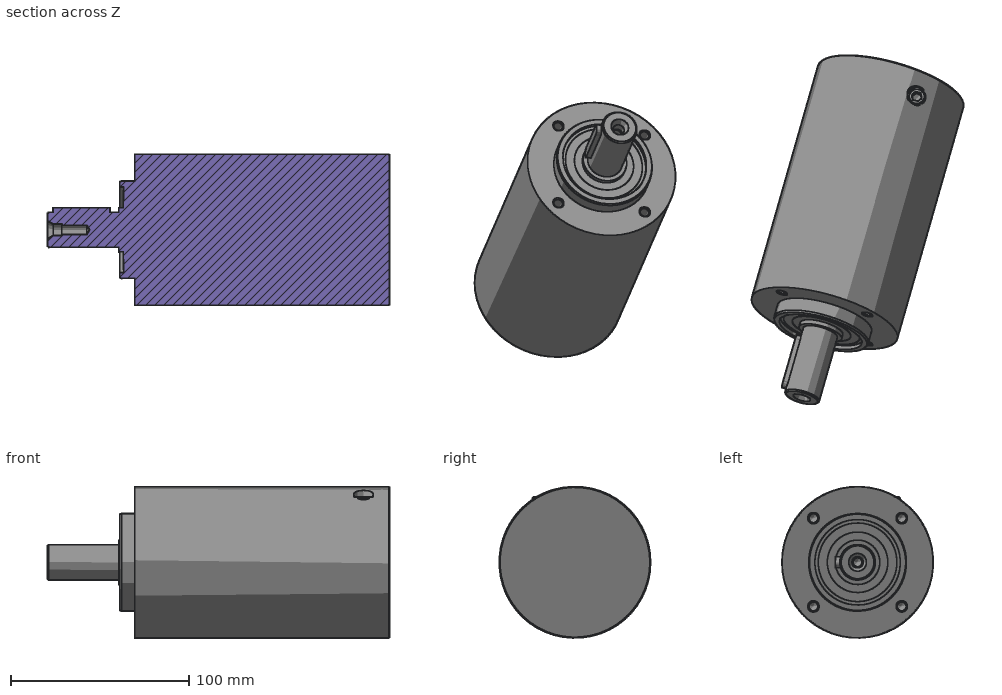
import cadquery as cq
import math


total_length = 192.0
shaft_length = 40.0
pilot_face_x = 40.5
body_face_x = 49.0

body_diameter = 85.0
pilot_diameter = 55.0
edge_chamfer_height = 0.48
pilot_chamfer_length = 1.2
body_chamfer_length = 0.5

recess_diameter = 48.0
recess_depth = 2.3
cover_diameter = 44.2
seal_diameter = 34.0
face_step = 0.2
seat_diameter = 25.0

shaft_diameter = 20.0
shaft_chamfer = 0.8

centre_mouth_diameter = 10.0
centre_clearance_diameter = 6.3
centre_clearance_length = 5.0
centre_thread_end_x = 22.0
centre_cone_angle = 60.0

core_diameter = 5.0
drill_point_angle = 118.0
mounting_mouth_diameter = 6.3
mounting_hole_depth = 12.0
mounting_hole_offset = 24.8

key_start_x = 3.0
key_length = 32.0
key_width = 6.0
key_top_y = 12.5
key_bottom_y = 6.5

screw_x = 177.5
screw_y = -19.0
screw_top_z = 36.7
screw_bore_floor_z = 36.5
screw_bore_diameter = 11.0
screw_head_diameter = 10.0
screw_head_top_diameter = 8.5
screw_head_chamfer = 0.8
screw_head_height = 6.0
socket_across_flats = 5.2
socket_depth = 3.0
socket_sides = 6


def cone_length(large_diameter, small_diameter, full_angle):
    """Axial length of a cone between two diameters."""
    return (large_diameter - small_diameter) / 2 / math.tan(math.radians(full_angle / 2))


def turned(points):
    """Revolve an (x, radius) outline around the X axis."""
    return cq.Workplane("XY").polyline(points).close().revolve(360, (0, 0, 0), (1, 0, 0))


def make_turned_body():
    shaft_radius = shaft_diameter / 2
    seat_radius = seat_diameter / 2
    pilot_radius = pilot_diameter / 2
    body_radius = body_diameter / 2
    recess_x = pilot_face_x + recess_depth
    cover_x = recess_x - face_step
    seal_x = cover_x - face_step
    return turned([
        (0, 0),
        (0, shaft_radius - shaft_chamfer),
        (shaft_chamfer, shaft_radius),
        (shaft_length, shaft_radius),
        (shaft_length, seat_radius),
        (seal_x, seat_radius),
        (seal_x, seal_diameter / 2),
        (cover_x, seal_diameter / 2),
        (cover_x, cover_diameter / 2),
        (recess_x, cover_diameter / 2),
        (recess_x, recess_diameter / 2),
        (pilot_face_x, recess_diameter / 2),
        (pilot_face_x, pilot_radius - edge_chamfer_height),
        (pilot_face_x + pilot_chamfer_length, pilot_radius),
        (body_face_x, pilot_radius),
        (body_face_x, body_radius),
        (total_length - body_chamfer_length, body_radius),
        (total_length, body_radius - edge_chamfer_height),
        (total_length, 0),
    ])


def make_centre_hole():
    clearance_radius = centre_clearance_diameter / 2
    core_radius = core_diameter / 2
    mouth_x = cone_length(centre_mouth_diameter, centre_clearance_diameter, centre_cone_angle)
    clearance_x = mouth_x + centre_clearance_length
    tip_x = centre_thread_end_x + cone_length(core_diameter, 0, drill_point_angle)
    return turned([
        (0, 0),
        (0, centre_mouth_diameter / 2),
        (mouth_x, clearance_radius),
        (clearance_x, clearance_radius),
        (clearance_x, core_radius),
        (centre_thread_end_x, core_radius),
        (tip_x, 0),
    ])


def make_mounting_hole():
    """Chamfered blind hole along +X, with its mouth at x = 0."""
    core_radius = core_diameter / 2
    mouth_length = (mounting_mouth_diameter - core_diameter) / 2
    tip_x = mounting_hole_depth + cone_length(core_diameter, 0, drill_point_angle)
    return turned([
        (0, 0),
        (0, mounting_mouth_diameter / 2),
        (mouth_length, core_radius),
        (mounting_hole_depth, core_radius),
        (tip_x, 0),
    ])


def make_key():
    return (
        cq.Workplane("XZ", origin=(key_start_x + key_length / 2, key_bottom_y, 0))
        .slot2D(key_length, key_width)
        .extrude(key_bottom_y - key_top_y)
    )


def make_screw_bore():
    return (
        cq.Workplane("XY", origin=(screw_x, screw_y, screw_bore_floor_z))
        .circle(screw_bore_diameter / 2)
        .extrude(body_diameter / 2)
    )


def make_screw_head():
    """Round head with a bevelled rim, sunk into the housing below its top face."""
    head_radius = screw_head_diameter / 2
    outline = [
        (0, 0),
        (screw_head_top_diameter / 2, 0),
        (head_radius, -screw_head_chamfer),
        (head_radius, -screw_head_height),
        (0, -screw_head_height),
    ]
    head = cq.Workplane("XZ").polyline(outline).close().revolve(360, (0, 0, 0), (0, 1, 0))
    return head.translate((screw_x, screw_y, screw_top_z))


def make_socket():
    """Hexagon socket with two corners along Y and a conical bottom."""
    corner_diameter = socket_across_flats / math.cos(math.pi / socket_sides)
    point_length = cone_length(socket_across_flats, 0, drill_point_angle)
    hexagon = (
        cq.Workplane("XY")
        .transformed(rotate=(0, 0, 90))
        .polygon(socket_sides, corner_diameter)
        .extrude(-socket_depth)
    )
    point = cq.Workplane("XY").add(
        cq.Solid.makeCone(
            socket_across_flats / 2, 0, point_length,
            cq.Vector(0, 0, -socket_depth), cq.Vector(0, 0, -1),
        )
    )
    return hexagon.union(point).translate((screw_x, screw_y, screw_top_z))


result = make_turned_body().cut(make_centre_hole())

mounting_hole = make_mounting_hole()
for y_side in (-1, 1):
    for z_side in (-1, 1):
        hole_y = y_side * mounting_hole_offset
        hole_z = z_side * mounting_hole_offset
        result = result.cut(mounting_hole.translate((body_face_x, hole_y, hole_z)))

result = result.union(make_key())
result = result.cut(make_screw_bore())
result = result.union(make_screw_head())
result = result.cut(make_socket())